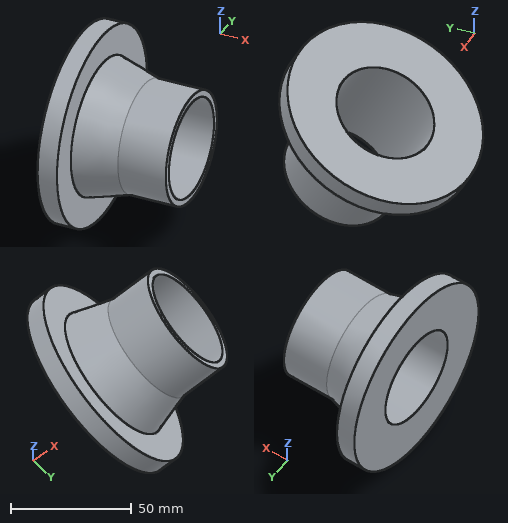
import cadquery as cq

flange_diameter = 88.0
flange_thickness = 9.0
sleeve_diameter = 50.0
total_length = 50.0
bore_diameter = 44.0
neck_base_diameter = 61.0
neck_length = 19.0

neck_end = flange_thickness + neck_length

half_section = (
    cq.Workplane("XZ")
    .moveTo(0, bore_diameter / 2)
    .lineTo(0, flange_diameter / 2)
    .lineTo(flange_thickness, flange_diameter / 2)
    .lineTo(flange_thickness, neck_base_diameter / 2)
    .lineTo(neck_end, sleeve_diameter / 2)
    .lineTo(total_length, sleeve_diameter / 2)
    .lineTo(total_length, bore_diameter / 2)
    .close()
)

result = half_section.revolve(360, (0, 0, 0), (1, 0, 0))